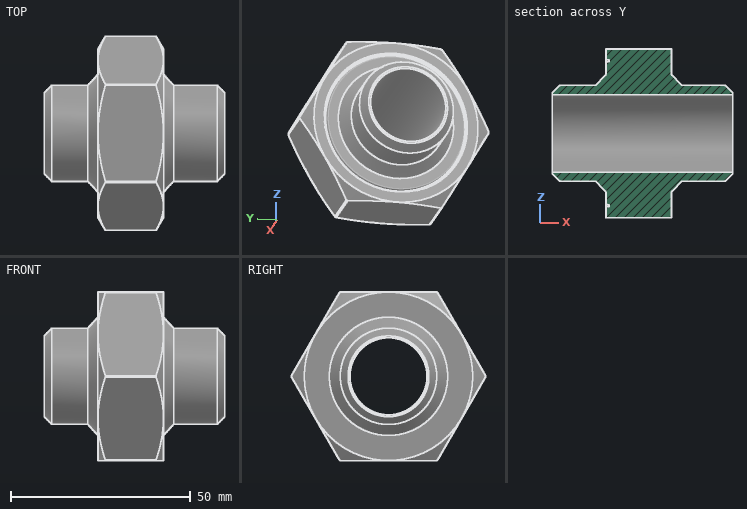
import cadquery as cq
import math

total_length = 50.4
nut_length = 18.3
left_stub_length = 15.0
left_end = -total_length / 2
right_end = total_length / 2
nut_left = left_end + left_stub_length
nut_right = nut_left + nut_length

across_flats = 47.1
corner_diameter = 54.1
nut_face_diameter = 47.0
nut_chamfer_angle = 30.0

pipe_radius = 26.9 / 2
bore_radius = 21.5 / 2
end_bevel = 2.15
cone_length = 2.8
cone_radius = 33.0 / 2

opening_radius = 20.45
collar_radius = 19.95
collar_fillet = 0.5
gap_depth = 0.8


def turn(outline):
    """Close an (x, radius) outline and turn it about the X axis."""
    return outline.close().revolve(360, (0, 0, 0), (1, 0, 0))


def make_nut():
    """Hexagon with trimmed corners and a conical chamfer on both faces."""
    circumscribed_diameter = across_flats / math.cos(math.radians(30))
    hexagon = (
        cq.Workplane("YZ")
        .workplane(offset=nut_left)
        .polygon(6, circumscribed_diameter)
        .extrude(nut_length)
    )
    face_radius = nut_face_diameter / 2
    corner_radius = corner_diameter / 2
    chamfer_length = (corner_radius - face_radius) * math.tan(math.radians(nut_chamfer_angle))
    envelope = turn(cq.Workplane("XZ").polyline([
        (nut_left, 0),
        (nut_left, face_radius),
        (nut_left + chamfer_length, corner_radius),
        (nut_right - chamfer_length, corner_radius),
        (nut_right, face_radius),
        (nut_right, 0),
    ]))
    return hexagon.intersect(envelope)


def make_collar_gap():
    """Ring-shaped gap in the left nut face, rounding the rim of the collar inside it."""
    return turn(
        cq.Workplane("XZ")
        .moveTo(nut_left, collar_radius - collar_fillet)
        .radiusArc((nut_left + collar_fillet, collar_radius), collar_fillet)
        .lineTo(nut_left + gap_depth, collar_radius)
        .lineTo(nut_left + gap_depth, opening_radius)
        .lineTo(nut_left, opening_radius)
    )


def make_stub(end, nut_face):
    """Bevelled pipe from its free end to the nut face, where it widens in a cone."""
    inward = math.copysign(1, nut_face - end)
    return turn(cq.Workplane("XZ").polyline([
        (end, 0),
        (end, pipe_radius - end_bevel),
        (end + inward * end_bevel, pipe_radius),
        (nut_face - inward * cone_length, pipe_radius),
        (nut_face, cone_radius),
        (nut_face, 0),
    ]))


left_stub = make_stub(left_end, nut_left)
right_stub = make_stub(right_end, nut_right)
bore = cq.Workplane("YZ").workplane(offset=left_end).circle(bore_radius).extrude(total_length)

result = make_nut().cut(make_collar_gap()).union(left_stub).union(right_stub).cut(bore)